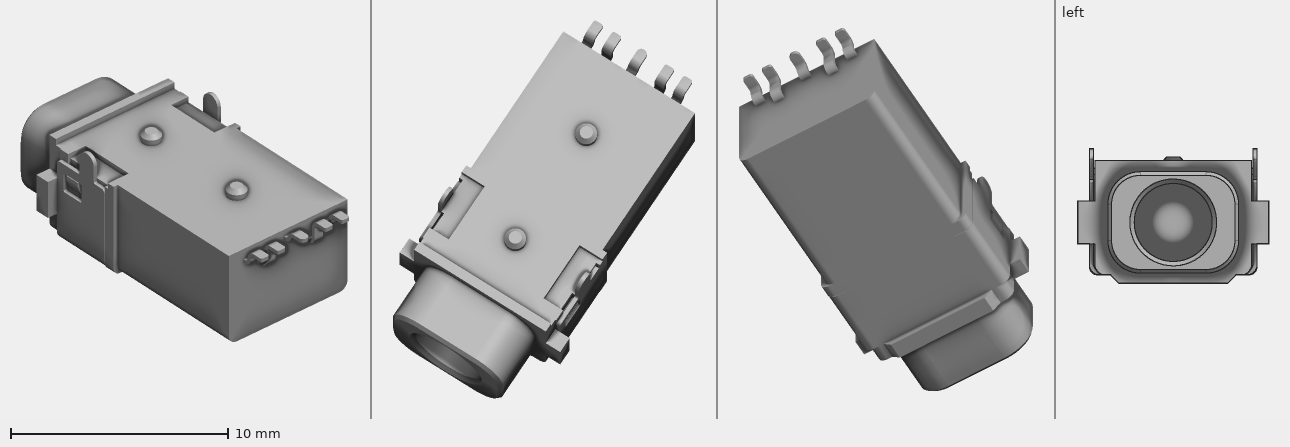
import cadquery as cq
import math

PLATE_FRONT = 2.89
PLATE_BACK = 3.7
LIP_BACK = 3.35
COLLAR_FRONT = 7.09
COLLAR_BACK = 7.7
HOUSING_BACK = 15.52
OVERALL_LENGTH = 16.8

HOUSING_TOP = 2.5
HOUSING_BOTTOM = -2.42
LIP_TOP = 2.85
PLATE_BOTTOM = -2.8

HOUSING_HALF_WIDTH = 3.61
HOUSING_CORNER = 0.49
SHEET = 0.2
COLLAR_HALF_WIDTH = 3.86
COLLAR_CORNER = 0.4
SEAT_HALF_WIDTH = COLLAR_HALF_WIDTH - SHEET

EAR_HALF_WIDTH = 4.4
EAR_HALF_HEIGHT = 0.99
KEEL_TOP_HALF_WIDTH = 2.89
KEEL_BOTTOM_HALF_WIDTH = 2.5

NOSE_HALF_WIDTH = 3.0
NOSE_HALF_HEIGHT = 2.34
NOSE_CORNER = 1.5
NOSE_CHAMFER = 0.17
BORE_RADIUS = 1.8
BORE_DEPTH = 13.44
BORE_CHAMFER = 0.2

POST_STATIONS = (5.88, 11.9)
POST_RADIUS = 0.5
POST_TIP_RADIUS = 0.3
POST_STRAIGHT = 0.3
POST_HEIGHT = 0.52

NOTCH_FRONT = 4.27
NOTCH_BACK = 7.3
NOTCH_FLOOR = 2.2
NOTCH_INNER_Y = 2.6
RELIEF_LENGTH = 1.0
RELIEF_DEPTH = 0.15

BARB_CENTRE = NOTCH_FRONT + RELIEF_LENGTH / 2
BARB_LENGTH = 0.8
BARB_TOP = 1.45
BARB_RAMP_TOP = 1.23
BARB_BOTTOM = 0.72
BARB_HEIGHT = SHEET

BRACKET_BACK = 7.04
BRACKET_TOP = 1.98
BRACKET_CORNER = 0.17
BRACKET_BEND = 0.49
TAB_CENTRE = 5.8
TAB_WIDTH = 1.0
TAB_TOP = 3.4
TAB_ROOT_FILLET = 0.1
WINDOW_FRONT = 4.17
WINDOW_BACK = 5.45
WINDOW_TOP = 1.5
WINDOW_BOTTOM = 0.47
WINDOW_CORNER = 0.1

PIN_WIDTH = 0.5
PIN_PAD_TOP = 2.55
PIN_BEND_START = 15.6
PIN_BEND_END = 16.21
CENTRE_PIN_ROOT_TOP = 2.13
CENTRE_PIN_TIP_FILLET = 0.24
SIDE_PIN_TIP = 16.77
SIDE_PIN_TIP_FILLET = 0.12
OUTER_PIN_Y = 2.45
OUTER_PIN_ROOT_TOP = 1.93
INNER_PIN_Y = 1.45
INNER_PIN_ROOT_TOP = 1.43


def block(x0, x1, y0, y1, z0, z1):
    return cq.Workplane("XY").box(x1 - x0, y1 - y0, z1 - z0, centered=False).translate((x0, y0, z0))


def section(x0, x1, half_width, corner):
    """A length of housing with its two lower long edges rounded."""
    length = block(x0, x1, -half_width, half_width, HOUSING_BOTTOM, HOUSING_TOP)
    return length.edges("|X and <Z").fillet(corner)


def both_sides(shape):
    """A shape on the +Y side together with its mirror image."""
    return shape.union(shape.mirror("XZ"))


def front_plate():
    plate = section(PLATE_FRONT, PLATE_BACK, HOUSING_HALF_WIDTH, HOUSING_CORNER)
    lip = block(PLATE_FRONT, LIP_BACK, -HOUSING_HALF_WIDTH, HOUSING_HALF_WIDTH, HOUSING_TOP, LIP_TOP)
    ears = block(PLATE_FRONT, PLATE_BACK, -EAR_HALF_WIDTH, EAR_HALF_WIDTH, -EAR_HALF_HEIGHT, EAR_HALF_HEIGHT)
    keel = (
        cq.Workplane("YZ", origin=(PLATE_FRONT, 0, 0))
        .polyline([
            (-KEEL_TOP_HALF_WIDTH, HOUSING_BOTTOM),
            (-KEEL_BOTTOM_HALF_WIDTH, PLATE_BOTTOM),
            (KEEL_BOTTOM_HALF_WIDTH, PLATE_BOTTOM),
            (KEEL_TOP_HALF_WIDTH, HOUSING_BOTTOM),
        ])
        .close()
        .extrude(PLATE_BACK - PLATE_FRONT)
    )
    return plate.union(lip).union(ears).union(keel)


def nose():
    body = block(0, PLATE_FRONT, -NOSE_HALF_WIDTH, NOSE_HALF_WIDTH, -NOSE_HALF_HEIGHT, NOSE_HALF_HEIGHT)
    return body.edges("|X").fillet(NOSE_CORNER).faces("<X").chamfer(NOSE_CHAMFER)


def bore():
    mouth_radius = BORE_RADIUS + BORE_CHAMFER
    return (
        cq.Workplane("XY")
        .polyline([
            (0, 0),
            (0, mouth_radius),
            (BORE_CHAMFER, BORE_RADIUS),
            (BORE_DEPTH, BORE_RADIUS),
            (BORE_DEPTH, 0),
        ])
        .close()
        .revolve(360, (0, 0, 0), (1, 0, 0))
    )


def post(x):
    return (
        cq.Workplane("XZ")
        .polyline([
            (0, 0),
            (POST_RADIUS, 0),
            (POST_RADIUS, POST_STRAIGHT),
            (POST_TIP_RADIUS, POST_HEIGHT),
            (0, POST_HEIGHT),
        ])
        .close()
        .revolve(360, (0, 0, 0), (0, 1, 0))
        .translate((x, 0, HOUSING_TOP))
    )


def edge_notch():
    """Notch in the +Y top edge, with a shallow relief running down to the barb."""
    notch = block(NOTCH_FRONT, NOTCH_BACK, NOTCH_INNER_Y, COLLAR_HALF_WIDTH, NOTCH_FLOOR, HOUSING_TOP)
    relief = block(
        NOTCH_FRONT, NOTCH_FRONT + RELIEF_LENGTH,
        SEAT_HALF_WIDTH - RELIEF_DEPTH, SEAT_HALF_WIDTH,
        BARB_TOP, NOTCH_FLOOR,
    )
    return notch.union(relief)


def barb():
    """Latch on the +Y side, tapering into the housing toward its lower end."""
    return (
        cq.Workplane("YZ", origin=(BARB_CENTRE, 0, 0))
        .polyline([
            (SEAT_HALF_WIDTH, BARB_TOP),
            (SEAT_HALF_WIDTH + BARB_HEIGHT, BARB_TOP),
            (SEAT_HALF_WIDTH + BARB_HEIGHT, BARB_RAMP_TOP),
            (SEAT_HALF_WIDTH, BARB_BOTTOM),
        ])
        .close()
        .extrude(BARB_LENGTH / 2, both=True)
    )


def angle_section(x0, x1):
    """A bent strip on the +Y side: an upright wall and a foot under the housing."""
    inner_bend = BRACKET_BEND - SHEET
    return (
        cq.Workplane("YZ", origin=(x0, 0, 0))
        .moveTo(COLLAR_HALF_WIDTH, TAB_TOP)
        .lineTo(COLLAR_HALF_WIDTH, HOUSING_BOTTOM + BRACKET_BEND)
        .radiusArc((COLLAR_HALF_WIDTH - BRACKET_BEND, HOUSING_BOTTOM), BRACKET_BEND)
        .lineTo(KEEL_TOP_HALF_WIDTH, HOUSING_BOTTOM)
        .lineTo(KEEL_TOP_HALF_WIDTH, HOUSING_BOTTOM + SHEET)
        .lineTo(SEAT_HALF_WIDTH - inner_bend, HOUSING_BOTTOM + SHEET)
        .radiusArc((SEAT_HALF_WIDTH, HOUSING_BOTTOM + BRACKET_BEND), -inner_bend)
        .lineTo(SEAT_HALF_WIDTH, TAB_TOP)
        .close()
        .extrude(x1 - x0)
    )


def pin(y, root_top, tip, tip_fillet):
    """Pin leaving the back of the housing, bent upward and then level again."""
    run = PIN_BEND_END - PIN_BEND_START
    rise = PIN_PAD_TOP - root_top
    root_z = root_top - SHEET / 2
    pad_z = PIN_PAD_TOP - SHEET / 2
    bend_rise = min(rise, run) / 2
    angle = 2 * math.atan2(2 * bend_rise, run)
    radius = run / 2 / math.sin(angle)
    across = radius * math.sin(angle / 2)
    climb = radius * (1 - math.cos(angle / 2))
    middle = PIN_BEND_START + run / 2
    path = (
        cq.Workplane("XZ", origin=(0, y, 0))
        .moveTo(HOUSING_BACK, root_z)
        .lineTo(PIN_BEND_START, root_z)
        .threePointArc((PIN_BEND_START + across, root_z + climb), (middle, root_z + bend_rise))
    )
    if rise > run:
        path = path.lineTo(middle, pad_z - bend_rise)
    path = path.threePointArc((PIN_BEND_END - across, pad_z - climb), (PIN_BEND_END, pad_z))
    path = path.lineTo(tip, pad_z)
    strip = cq.Workplane("YZ", origin=(HOUSING_BACK, y, root_z)).rect(PIN_WIDTH, SHEET).sweep(path)
    return strip.faces(">X").edges("|Z").fillet(tip_fillet)


def make_housing():
    """Moulded housing with its bore, posts, barbs and pins."""
    body = front_plate().union(nose())
    body = body.union(section(PLATE_BACK, COLLAR_FRONT, SEAT_HALF_WIDTH, HOUSING_CORNER))
    body = body.union(section(COLLAR_FRONT, COLLAR_BACK, COLLAR_HALF_WIDTH, COLLAR_CORNER))
    body = body.union(section(COLLAR_BACK, HOUSING_BACK, HOUSING_HALF_WIDTH, HOUSING_CORNER))
    body = body.cut(both_sides(angle_section(PLATE_BACK, COLLAR_FRONT)))
    body = body.cut(both_sides(edge_notch())).cut(bore())
    body = body.union(both_sides(barb()))
    for x in POST_STATIONS:
        body = body.union(post(x))
    body = body.union(pin(0, CENTRE_PIN_ROOT_TOP, OVERALL_LENGTH, CENTRE_PIN_TIP_FILLET))
    for side in (-1, 1):
        for y, root_top in ((OUTER_PIN_Y, OUTER_PIN_ROOT_TOP), (INNER_PIN_Y, INNER_PIN_ROOT_TOP)):
            body = body.union(pin(side * y, root_top, SIDE_PIN_TIP, SIDE_PIN_TIP_FILLET))
    return body


def bracket_outline():
    """Side shape of a bracket: a wall with rounded top corners and a round-ended tab."""
    reach = EAR_HALF_WIDTH
    wall = block(PLATE_BACK, BRACKET_BACK, 0, reach, HOUSING_BOTTOM, BRACKET_TOP)
    wall = wall.faces(">Z").edges("|Y").fillet(BRACKET_CORNER)
    tab_front = TAB_CENTRE - TAB_WIDTH / 2
    tab_back = TAB_CENTRE + TAB_WIDTH / 2
    tab_shoulder = TAB_TOP - TAB_WIDTH / 2
    tab = (
        cq.Workplane("XZ")
        .moveTo(tab_front - TAB_ROOT_FILLET, BRACKET_TOP)
        .radiusArc((tab_front, BRACKET_TOP + TAB_ROOT_FILLET), -TAB_ROOT_FILLET)
        .lineTo(tab_front, tab_shoulder)
        .threePointArc((TAB_CENTRE, TAB_TOP), (tab_back, tab_shoulder))
        .lineTo(tab_back, BRACKET_TOP + TAB_ROOT_FILLET)
        .radiusArc((tab_back + TAB_ROOT_FILLET, BRACKET_TOP), -TAB_ROOT_FILLET)
        .close()
        .extrude(-reach)
    )
    window = block(WINDOW_FRONT, WINDOW_BACK, 0, reach, WINDOW_BOTTOM, WINDOW_TOP)
    window = window.edges("|Y").fillet(WINDOW_CORNER)
    return wall.union(tab).cut(window)


def make_bracket(side):
    """Sheet-metal bracket on the +Y (side = 1) or -Y (side = -1) flank."""
    bracket = angle_section(PLATE_BACK, BRACKET_BACK).intersect(bracket_outline())
    return bracket if side > 0 else bracket.mirror("XZ")


housing = make_housing()
brackets = [make_bracket(side) for side in (-1, 1)]

result = cq.Compound.makeCompound([housing.val(), *[bracket.val() for bracket in brackets]])